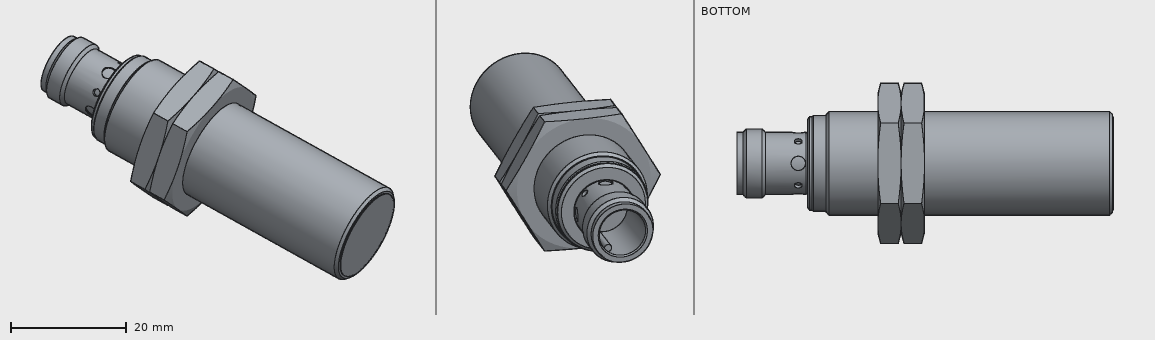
import cadquery as cq
import math

TOTAL_LENGTH = 65.1

NECK_DIAMETER = 10.8
RING_DIAMETER = 12.0
RING_START = 1.05
RING_END = 4.95
RING_CHAMFER = (RING_DIAMETER - NECK_DIAMETER) / 2
INNER_SLEEVE_DIAMETER = 10.6
NECK_END = 11.9

COLLAR_START = 12.2
COLLAR_DIAMETER = 16.6
COLLAR_FACE_DIAMETER = 15.1
COLLAR_STEP_DIAMETER = 16.2
COLLAR_STEP_START = 12.55
COLLAR_STEP_END = 13.0
COLLAR_CHAMFER = (COLLAR_DIAMETER - COLLAR_STEP_DIAMETER) / 2

BARREL_START = 15.4
BARREL_DIAMETER = 18.0
BARREL_FACE_DIAMETER = 16.9
BARREL_CHAMFER = (BARREL_DIAMETER - BARREL_FACE_DIAMETER) / 2
CAP_DIAMETER = 16.1
CAP_HEIGHT = 0.2
BARREL_END = TOTAL_LENGTH - CAP_HEIGHT

BORE_DIAMETER = 8.35
BORE_DEPTH = 11.7
MOUTH_CHAMFER = 0.25
KEY_DIAMETER = 1.3
KEY_AXIS_RADIUS = 3.65
KEY_START = MOUTH_CHAMFER
KEY_ANGLE = math.radians(-45)

OPENING_X = 10.6
WINDOW_DIAMETER = 2.5
WINDOW_DEPTH = 0.25
SMALL_HOLE_DIAMETER = 1.3
SMALL_HOLE_DEPTH = 0.65
OPENING_COUNT = 4

NUT_COUNT = 2
NUT_START = 24.35
NUT_THICKNESS = 4.05
NUT_ACROSS_FLATS = 24.0
NUT_ACROSS_CORNERS = NUT_ACROSS_FLATS / math.cos(math.radians(30))
NUT_CHAMFER_ANGLE = math.radians(15)


def cylinder_x(diameter, start, end, y=0, z=0):
    """Cylinder parallel to X between two stations."""
    plane = cq.Workplane("YZ", origin=(start, y, z))
    return plane.circle(diameter / 2).extrude(end - start)


def revolve_x(stations):
    """Solid of revolution about X from (x, diameter) stations."""
    outline = [(x, diameter / 2) for x, diameter in stations]
    axis_points = [(stations[-1][0], 0), (stations[0][0], 0)]
    profile = cq.Workplane("XY").polyline(outline + axis_points).close()
    return profile.revolve(360, (0, 0, 0), (1, 0, 0))


def make_turned_body():
    return revolve_x([
        (0, NECK_DIAMETER),
        (RING_START, NECK_DIAMETER),
        (RING_START + RING_CHAMFER, RING_DIAMETER),
        (RING_END - RING_CHAMFER, RING_DIAMETER),
        (RING_END, NECK_DIAMETER),
        (NECK_END, NECK_DIAMETER),
        (NECK_END, INNER_SLEEVE_DIAMETER),
        (COLLAR_START, INNER_SLEEVE_DIAMETER),
        (COLLAR_START, COLLAR_FACE_DIAMETER),
        (COLLAR_STEP_START, COLLAR_STEP_DIAMETER),
        (COLLAR_STEP_END, COLLAR_STEP_DIAMETER),
        (COLLAR_STEP_END + COLLAR_CHAMFER, COLLAR_DIAMETER),
        (BARREL_START, COLLAR_DIAMETER),
        (BARREL_START, BARREL_FACE_DIAMETER),
        (BARREL_START + BARREL_CHAMFER, BARREL_DIAMETER),
        (BARREL_END - BARREL_CHAMFER, BARREL_DIAMETER),
        (BARREL_END, BARREL_FACE_DIAMETER),
        (BARREL_END, CAP_DIAMETER),
        (TOTAL_LENGTH, CAP_DIAMETER),
    ])


def make_socket():
    return revolve_x([
        (0, BORE_DIAMETER + 2 * MOUTH_CHAMFER),
        (MOUTH_CHAMFER, BORE_DIAMETER),
        (BORE_DEPTH, BORE_DIAMETER),
    ])


def make_key():
    y = KEY_AXIS_RADIUS * math.cos(KEY_ANGLE)
    z = KEY_AXIS_RADIUS * math.sin(KEY_ANGLE)
    return cylinder_x(KEY_DIAMETER, KEY_START, BORE_DEPTH, y, z)


def make_radial_opening(diameter, depth, angle):
    """Radial cutter reaching a concentric floor the given depth below the neck surface."""
    drill = cq.Workplane("XY", origin=(OPENING_X, 0, 0)).circle(diameter / 2).extrude(NECK_DIAMETER)
    floor_diameter = NECK_DIAMETER - 2 * depth
    core = cylinder_x(floor_diameter, OPENING_X - diameter, OPENING_X + diameter)
    return drill.cut(core).rotate((0, 0, 0), (1, 0, 0), angle)


def make_housing():
    housing = make_turned_body().cut(make_socket()).union(make_key())
    pitch = 360 / OPENING_COUNT
    for index in range(OPENING_COUNT):
        angle = index * pitch
        housing = housing.cut(make_radial_opening(WINDOW_DIAMETER, WINDOW_DEPTH, angle))
        small_hole = make_radial_opening(SMALL_HOLE_DIAMETER, SMALL_HOLE_DEPTH, angle + pitch / 2)
        housing = housing.cut(small_hole)
    return housing


def make_nut(start):
    """Hexagon nut with corners on Y and both faces chamfered."""
    end = start + NUT_THICKNESS
    plane = cq.Workplane("YZ", origin=(start, 0, 0))
    hexagon = plane.polygon(6, NUT_ACROSS_CORNERS).extrude(NUT_THICKNESS)
    chamfer_length = (NUT_ACROSS_CORNERS - NUT_ACROSS_FLATS) / 2 * math.tan(NUT_CHAMFER_ANGLE)
    chamfer_envelope = revolve_x([
        (start, NUT_ACROSS_FLATS),
        (start + chamfer_length, NUT_ACROSS_CORNERS),
        (end - chamfer_length, NUT_ACROSS_CORNERS),
        (end, NUT_ACROSS_FLATS),
    ])
    return hexagon.intersect(chamfer_envelope).cut(cylinder_x(BARREL_DIAMETER, start, end))


housing = make_housing()
nuts = [make_nut(NUT_START + index * NUT_THICKNESS) for index in range(NUT_COUNT)]

result = cq.Compound.makeCompound([housing.val(), *[nut.val() for nut in nuts]])